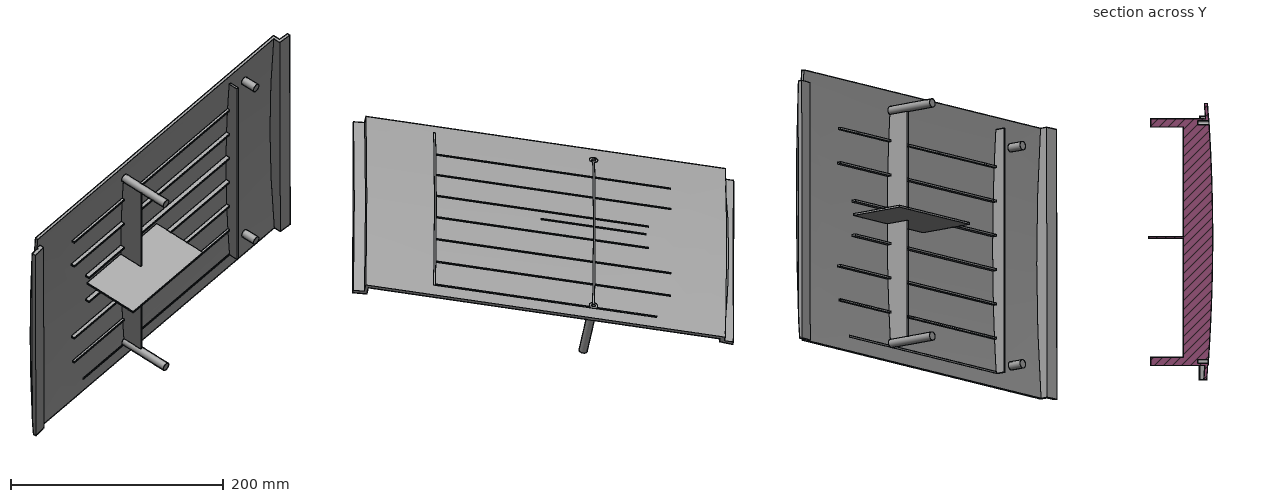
import cadquery as cq
import math

front_x = -29.95
crest_z = 4.0
outer_radius = 1670.0
panel_thickness = 3.0
panel_y_min = -172.9
panel_y_max = 171.0
height = 260.0
z_min = -height / 2
z_max = height / 2
axis_x = front_x + outer_radius
sweep_angle = 12.0

back_lean = math.degrees(crest_z / outer_radius)
reach_depth = 20.0

hook_y_max = 181.4
hook_foot = 3.0
hook_root_depth = 7.4
hook_tip_depth = 8.4
hook_root_back_x = -14.4
hook_tip_back_x = -13.5

lip_y_min = -181.35
lip_y_max = -168.5
lip_overlap = 0.5
lip_front_depth = 4.2
lip_root_back_x = -18.5
lip_tip_back_x = -17.5
lip_z_max = 118.0
lip_crest_x = -26.3
lip_base_x = -21.9
lip_crest_y_min = -179.5
lip_crest_y_max = -176.2

rib_thickness = 1.8
rib_proud = 0.2
rib_pitch = 33.0
rib_back_x = -22.5
frame_y = 105.5
frame_back_x = -13.1
frame_z_min = -116.4
frame_z_max = 118.5
inner_rib_y_min = -98.5
outer_rib_y_min = -119.8
lowest_rib_y_min = -107.0
cross_ribs = (
    (-3.5, lowest_rib_y_min),
    (-2.5, outer_rib_y_min),
    (-1.5, outer_rib_y_min),
    (-0.5, inner_rib_y_min),
    (0.5, inner_rib_y_min),
    (1.5, outer_rib_y_min),
    (2.5, outer_rib_y_min),
)

pin_diameter = 8.0
bore_diameter = 3.5
bore_end_x = -16.0
long_pin_y = -46.5
long_pin_z = 112.2
pin_middle_z = -0.4
long_pin_end_x = 28.3
web_back_x = -2.2

short_pin_y = 127.0
short_pin_z = 105.0
short_pin_start_x = -25.0
short_pin_end_x = -8.9

plate_thickness = 1.8
plate_end_x = 30.15
plate_y_min = -96.0
plate_y_max = 4.5

embed = 1.0
trim_depth = 80.0


def block(x_min, x_max, y_min, y_max, low_z, high_z):
    size = (x_max - x_min, y_max - y_min, high_z - low_z)
    return cq.Workplane("XY").box(*size, centered=False).translate((x_min, y_min, low_z))


def curved_strip(profile):
    """Sweep a (depth, y) profile about the panel axis."""
    points = [(front_x + depth, y) for depth, y in profile]
    strip = cq.Workplane("XY").polyline(points).close().revolve(
        sweep_angle, (axis_x, 0, 0), (axis_x, 1, 0)
    )
    strip = strip.rotate((axis_x, 0, 0), (axis_x, 1, 0), -sweep_angle / 2)
    return strip.translate((0, 0, crest_z))


def leaning_prism(outline):
    """Extrude an (x, y) outline past the full height, tipped by the lean of the flange backs."""
    prism = cq.Workplane("XY").polyline(outline).close().extrude(height, both=True)
    return prism.rotate((0, 0, 0), (0, 1, 0), -back_lean)


def trim_height(body, top):
    return body.intersect(block(-trim_depth, trim_depth, lip_y_min, hook_y_max, z_min, top))


def trim_front(body, proud):
    """Cut the front of a body to the curve of the outer face, standing proud of it."""
    return body.intersect(curved_strip([
        (-proud, panel_y_min),
        (trim_depth, panel_y_min),
        (trim_depth, panel_y_max),
        (-proud, panel_y_max),
    ]))


def make_panel():
    return trim_height(curved_strip([
        (0, panel_y_min),
        (panel_thickness, panel_y_min),
        (panel_thickness, panel_y_max),
        (0, panel_y_max),
    ]), z_max)


def make_hook():
    foot_y = panel_y_max - hook_foot
    front = curved_strip([
        (0, foot_y),
        (reach_depth, foot_y),
        (reach_depth, hook_y_max),
        (hook_tip_depth, hook_y_max),
        (hook_root_depth, panel_y_max),
        (0, panel_y_max),
    ])
    back = leaning_prism([
        (front_x - embed, foot_y),
        (hook_root_back_x, foot_y),
        (hook_tip_back_x, hook_y_max),
        (front_x - embed, hook_y_max),
    ])
    return trim_height(front.intersect(back), z_max)


def make_lip():
    seat_depth = panel_thickness - lip_overlap
    front = curved_strip([
        (seat_depth, lip_y_max),
        (seat_depth, panel_y_min),
        (lip_front_depth, panel_y_min),
        (lip_front_depth, lip_y_min),
        (reach_depth, lip_y_min),
        (reach_depth, lip_y_max),
    ])
    back = leaning_prism([
        (lip_base_x, lip_y_min),
        (lip_crest_x, lip_crest_y_min),
        (lip_crest_x, lip_crest_y_max),
        (lip_base_x, panel_y_min),
        (front_x, panel_y_min),
        (front_x, lip_y_max),
        (lip_root_back_x, lip_y_max),
        (lip_tip_back_x, lip_y_min),
    ])
    return trim_height(front.intersect(back), lip_z_max)


def upright_rib(y, back_x, low_z, high_z):
    half = rib_thickness / 2
    return block(front_x - embed, back_x, y - half, y + half, low_z, high_z)


def cross_rib(z, y_min):
    half = rib_thickness / 2
    return block(front_x - embed, rib_back_x, y_min, frame_y, z - half, z + half)


def make_ribs():
    ribs = upright_rib(long_pin_y, web_back_x, -long_pin_z, long_pin_z)
    ribs = ribs.union(upright_rib(frame_y, frame_back_x, frame_z_min, frame_z_max))
    for pitches, y_min in cross_ribs:
        ribs = ribs.union(cross_rib(pitches * rib_pitch, y_min))
    return ribs


def make_plate():
    half = plate_thickness / 2
    return block(
        front_x - embed, plate_end_x, plate_y_min, plate_y_max, crest_z - half, crest_z + half
    )


def pins(diameter, start_x, end_x, y, z):
    """Two cylinders along X, one above and one below the middle of the pins."""
    plane = cq.Workplane("YZ", origin=(start_x, y, pin_middle_z))
    return plane.pushPoints([(0, -z), (0, z)]).circle(diameter / 2).extrude(end_x - start_x)


long_pins = pins(pin_diameter, front_x - embed, long_pin_end_x, long_pin_y, long_pin_z)
bores = pins(bore_diameter, front_x - embed, bore_end_x, long_pin_y, long_pin_z)
short_pins = pins(pin_diameter, short_pin_start_x, short_pin_end_x, short_pin_y, short_pin_z)

backing = make_ribs().union(make_plate()).union(long_pins)
result = make_panel().union(make_hook()).union(make_lip()).union(short_pins)
result = result.union(trim_front(backing, rib_proud)).cut(bores)